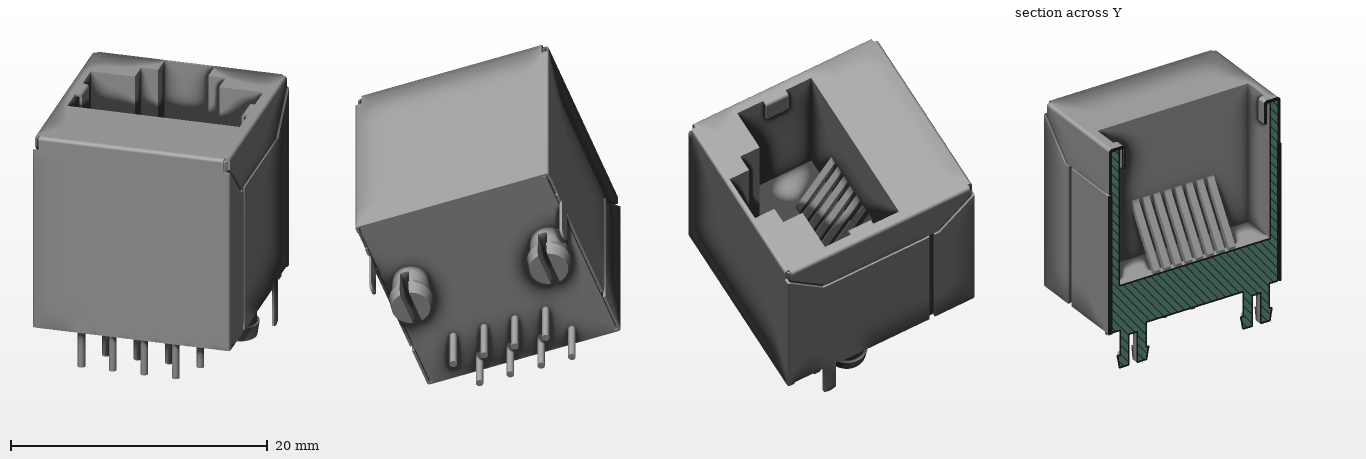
import cadquery as cq
import math

body_height = 16.35
outer_x = 16.0
outer_y = 16.7
sheet = 0.2
tail_length = 3.55

flap_step = 0.1
top_bend_radius = 0.28
wall_corner_radius = 0.2
housing_corner_radius = 0.3
corner_notch_x = 7.46
corner_notch_y = 7.96
corner_notch_depth = 1.11

flap_straight_drop = 0.98
flap_drop = 4.02
flap_bottom_half = corner_notch_y - (flap_drop - flap_straight_drop)
slit_bottom = 0.08
slit_slope_shift = 0.35
seam_y_min = -4.74
seam_y_max = -4.28

tail_y = 4.62
tail_width = 1.1
tail_tip_rise = 0.24
relief_width = 0.3
notch_height = 0.2
long_notch_y_min = 6.05
long_notch_y_max = 7.8

opening_y_min = -2.1
opening_steps = [(6.98, 4.5), (3.42, 6.23), (2.03, 7.96)]
pocket_depth = 12.34

finger_y_min = 0.18
finger_y_max = 2.19
finger_face_x = 6.47
finger_bend_radius = 0.25
finger_drop = 2.0

contact_count = 8
contact_pitch = 1.0
contact_width = 0.6
contact_reach = 3.15
contact_slope = 57.0
contact_top_z = 9.15
contact_thickness = 0.4

pin_count = 8
pin_pitch = 1.27
pin_diameter = 0.6
pin_row_y = (-6.87, -4.38)

peg_x = 5.71
peg_y = 1.85
peg_radius = 1.47
peg_length = 3.32
barb_height = 1.15
barb_top_radius = 1.7
barb_tip_radius = 1.51
peg_slot_width = 0.74
peg_slot_start = 0.6

cap_x = outer_x - 2 * flap_step
housing_x = cap_x - 2 * sheet
housing_y = outer_y - 2 * sheet
housing_height = body_height - sheet
notch_z = body_height - corner_notch_depth
inner_bend_radius = top_bend_radius - sheet


def block(x_min, x_max, y_min, y_max, z_min, z_max):
    """Axis-aligned box between the given limits."""
    return cq.Workplane("XY").box(
        x_max - x_min, y_max - y_min, z_max - z_min, centered=False
    ).translate((x_min, y_min, z_min))


def upright_block(size_x, size_y, height):
    """Box centred in X and Y that stands on the board face."""
    return cq.Workplane("XY").box(size_x, size_y, height, centered=(True, True, False))


def side_prism(points):
    """Outline of (y, z) points extruded across the whole width in X."""
    return cq.Workplane("YZ").polyline(points).close().extrude(outer_x, both=True)


def opening_prism(z_min, z_max):
    """Stepped plug opening between two heights."""
    right_side = [(opening_steps[0][0], opening_y_min)]
    for index, (half_width, y_top) in enumerate(opening_steps):
        if index > 0:
            right_side.append((half_width, opening_steps[index - 1][1]))
        right_side.append((half_width, y_top))
    left_side = [(-x, y) for x, y in reversed(right_side)]
    outline = cq.Workplane("XY").polyline(right_side + left_side).close()
    return outline.extrude(z_max - z_min).translate((0, 0, z_min))


def flap_region():
    """Prism over the side flaps: straight ends, then 45 degree slopes."""
    flap_bottom_z = body_height - flap_drop
    slope_top_z = body_height - flap_straight_drop
    return side_prism([
        (-corner_notch_y, body_height),
        (-corner_notch_y, slope_top_z),
        (-flap_bottom_half, flap_bottom_z),
        (flap_bottom_half, flap_bottom_z),
        (corner_notch_y, slope_top_z),
        (corner_notch_y, body_height),
    ])


def flap_clearance():
    """Prism that the lower side plates leave free for the flap and its slits."""
    bottom_z = body_height - flap_drop - slit_bottom
    bottom_half = flap_bottom_half + slit_slope_shift - slit_bottom
    top_half = bottom_half + (body_height - bottom_z)
    return side_prism([
        (-top_half, body_height),
        (-bottom_half, bottom_z),
        (bottom_half, bottom_z),
        (top_half, body_height),
    ])


def make_cap():
    """Top sheet with the side flaps and the upper edges of the front and back panels."""
    cap = upright_block(cap_x, outer_y, body_height).faces(">Z").edges().fillet(top_bend_radius)
    inside = upright_block(housing_x, housing_y, housing_height)
    cap = cap.cut(inside.faces(">Z").edges().fillet(inner_bend_radius))
    panels = block(-corner_notch_x, corner_notch_x, -outer_y, outer_y, 0, body_height)
    return cap.intersect(flap_region().union(panels))


def make_lower_walls():
    """Front and back panels and the side plates folded from them."""
    walls = upright_block(outer_x, outer_y, notch_z).edges("|Z").fillet(wall_corner_radius)
    walls = walls.cut(upright_block(outer_x - 2 * sheet, housing_y, notch_z))
    side_zone = upright_block(2 * outer_x, housing_y, body_height)
    walls = walls.cut(flap_clearance().intersect(side_zone))
    walls = walls.cut(block(-outer_x, outer_x, seam_y_min, seam_y_max, 0, notch_z))

    tail_edges = (tail_y - tail_width / 2, tail_y + tail_width / 2)
    notches = [
        (tail_edges[0] - relief_width, tail_edges[0]),
        (tail_edges[1], tail_edges[1] + relief_width),
        (long_notch_y_min, long_notch_y_max),
    ]
    for y_min, y_max in notches:
        walls = walls.cut(block(-outer_x, outer_x, y_min, y_max, 0, notch_height))
    return walls


def make_tail(side):
    """Round-ended solder tail below one side plate."""
    half_width = tail_width / 2
    tip_start_z = tail_tip_rise - tail_length
    outline = (
        cq.Workplane("YZ")
        .moveTo(tail_y - half_width, notch_height)
        .lineTo(tail_y - half_width, tip_start_z)
        .threePointArc((tail_y, -tail_length), (tail_y + half_width, tip_start_z))
        .lineTo(tail_y + half_width, notch_height)
        .close()
    )
    return outline.extrude(sheet).translate((side * (outer_x - sheet) / 2 - sheet / 2, 0, 0))


def make_finger():
    """Spring finger bent down from the top sheet on the +X side of the opening."""
    root_x = opening_steps[0][0]
    finger = block(finger_face_x, root_x, finger_y_min, finger_y_max,
                   body_height - finger_drop, body_height)
    finger = finger.edges("<X and >Z").fillet(finger_bend_radius)
    behind = block(finger_face_x + sheet, root_x, finger_y_min, finger_y_max,
                   body_height - finger_drop, housing_height)
    behind = behind.edges("<X and >Z").fillet(finger_bend_radius - sheet)
    return finger.cut(behind)


def make_shield():
    shield = make_cap().union(make_lower_walls())
    shield = shield.cut(opening_prism(housing_height, body_height))
    finger = make_finger()
    shield = shield.union(finger).union(finger.mirror("YZ"))
    for side in (-1, 1):
        shield = shield.union(make_tail(side))
    return shield


def make_contact(x):
    """Sloping contact strip that starts inside the pocket wall."""
    rise = math.tan(math.radians(contact_slope))
    drop = contact_thickness / math.cos(math.radians(contact_slope))
    start_y = opening_y_min - contact_thickness
    start_z = contact_top_z + contact_thickness * rise
    end_y = opening_y_min + contact_reach
    end_z = contact_top_z - contact_reach * rise
    outline = cq.Workplane("YZ").polyline([
        (start_y, start_z), (end_y, end_z), (end_y, end_z - drop), (start_y, start_z - drop),
    ]).close()
    return outline.extrude(contact_width).translate((x - contact_width / 2, 0, 0))


def make_pin(x, y):
    return cq.Workplane("XY").center(x, y).circle(pin_diameter / 2).extrude(-tail_length)


def make_peg(x):
    """Round snap peg with a tapered barb, split by a slot along Y."""
    barb_z = barb_height - peg_length
    peg = (
        cq.Workplane("XZ")
        .polyline([
            (0, 0), (peg_radius, 0), (peg_radius, barb_z), (barb_top_radius, barb_z),
            (barb_tip_radius, -peg_length), (0, -peg_length),
        ])
        .close()
        .revolve(360, (0, 0, 0), (0, 1, 0))
    )
    half_slot = peg_slot_width / 2
    slot = block(-half_slot, half_slot, -barb_top_radius, barb_top_radius,
                 -peg_length, -peg_slot_start)
    return peg.cut(slot).translate((x, peg_y, 0))


def make_housing():
    housing = upright_block(housing_x, housing_y, housing_height)
    housing = housing.edges("|Z").fillet(housing_corner_radius)
    housing = housing.faces(">Z").edges().fillet(inner_bend_radius)
    housing = housing.cut(opening_prism(body_height - pocket_depth, body_height))

    for index in range(contact_count):
        housing = housing.union(make_contact((index - (contact_count - 1) / 2) * contact_pitch))
    for index in range(pin_count):
        pin_x = (index - (pin_count - 1) / 2) * pin_pitch
        housing = housing.union(make_pin(pin_x, pin_row_y[index % 2]))
    for side in (-1, 1):
        housing = housing.union(make_peg(side * peg_x))
    return housing


shield = make_shield()
housing = make_housing()

result = cq.Compound.makeCompound([shield.val(), housing.val()])